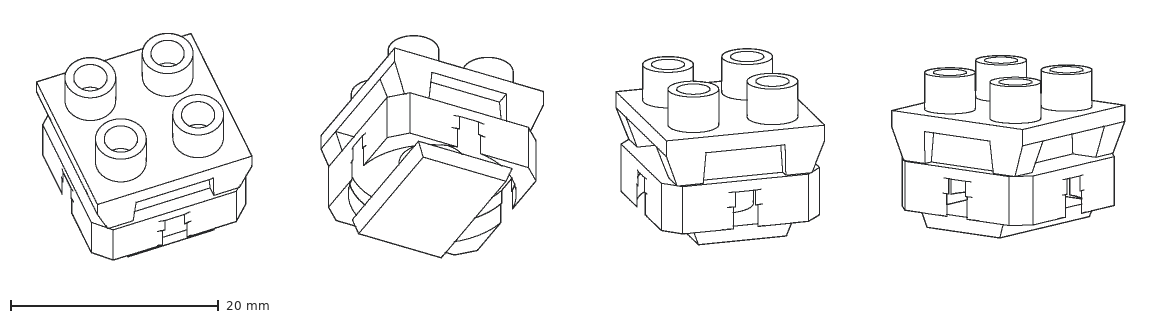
import cadquery as cq

SIDE = 16.0
BASE_TOP = 1.6
COLLAR_TOP = 6.4
PLATE_BOTTOM = 9.6
PLATE_TOP = 11.2
PIN_TOP = 14.8

CORE_INSET_X = 1.0
CORE_INSET_Y = 3.55

COLLAR_CHAMFER = 1.63
CAVITY_STEP_Z = 3.8
CAVITY_TOP = 5.31
CAVITY_LOWER_DIAMETER = 16.2
CAVITY_UPPER_DIAMETER = 16.13
POST_DIAMETER = 6.4

RECESS_FLARE = 0.18
SIDE_RECESS_WIDTH = 8.0
SIDE_RECESS_DEPTH = 1.49
FRONT_RECESS_WIDTH = 9.6
FRONT_RECESS_DEPTH = 4.0

PIN_SPACING = SIDE / 2
PIN_DIAMETER = 4.9
PIN_BORE = 3.2

LEG_HEIGHT = PLATE_BOTTOM - COLLAR_TOP


def block(length, width, bottom, top):
    """Upright box centred on the Z axis between two heights."""
    return cq.Workplane("XY").workplane(offset=bottom).rect(length, width).extrude(top - bottom)


def cylinder(diameter, bottom, top):
    """Upright cylinder on the Z axis between two heights."""
    return cq.Workplane("XY").workplane(offset=bottom).circle(diameter / 2).extrude(top - bottom)


def tapered_core():
    """Full-width block under the plate that narrows down to the underside."""
    return (
        cq.Workplane("XY")
        .rect(SIDE - 2 * CORE_INSET_X, SIDE - 2 * CORE_INSET_Y)
        .workplane(offset=PLATE_BOTTOM)
        .rect(SIDE, SIDE)
        .loft(ruled=True)
    )


def front_recess():
    """Recess on the -Y side, with an upright back wall and flared sides."""
    half_top = FRONT_RECESS_WIDTH / 2
    half_bottom = half_top + RECESS_FLARE
    outline = [
        (-half_bottom, COLLAR_TOP),
        (half_bottom, COLLAR_TOP),
        (half_top, PLATE_BOTTOM),
        (-half_top, PLATE_BOTTOM),
    ]
    back_wall = FRONT_RECESS_DEPTH - SIDE / 2
    return cq.Workplane("XZ", origin=(0, back_wall, 0)).polyline(outline).close().extrude(FRONT_RECESS_DEPTH)


def side_recess():
    """Recess on the -X side, whose back wall leans outward toward the bottom."""
    depth_bottom = SIDE_RECESS_DEPTH - RECESS_FLARE
    width_bottom = SIDE_RECESS_WIDTH + 2 * RECESS_FLARE
    return (
        cq.Workplane("XY", origin=(-SIDE / 2, 0, COLLAR_TOP))
        .center(depth_bottom / 2, 0)
        .rect(depth_bottom, width_bottom)
        .workplane(offset=LEG_HEIGHT)
        .center(RECESS_FLARE / 2, 0)
        .rect(SIDE_RECESS_DEPTH, SIDE_RECESS_WIDTH)
        .loft(ruled=True)
    )


def collar():
    """Chamfered ring; its cavity just breaks through the middle of each side as a stepped slot."""
    body = block(SIDE, SIDE, BASE_TOP, COLLAR_TOP).edges("|Z").chamfer(COLLAR_CHAMFER)
    cavity = cylinder(CAVITY_LOWER_DIAMETER, BASE_TOP, CAVITY_STEP_Z).union(
        cylinder(CAVITY_UPPER_DIAMETER, CAVITY_STEP_Z, CAVITY_TOP)
    )
    return body.cut(cavity).union(cylinder(POST_DIAMETER, BASE_TOP, CAVITY_TOP))


def pins():
    """Four tubes standing on the plate."""
    return (
        cq.Workplane("XY")
        .workplane(offset=PLATE_TOP)
        .rarray(PIN_SPACING, PIN_SPACING, 2, 2)
        .circle(PIN_DIAMETER / 2)
        .circle(PIN_BORE / 2)
        .extrude(PIN_TOP - PLATE_TOP)
    )


core = tapered_core()
for recess in (front_recess(), side_recess()):
    opposite = recess.rotate((0, 0, 0), (0, 0, 1), 180)
    core = core.cut(recess).cut(opposite)

base = core.intersect(block(SIDE, SIDE, 0, BASE_TOP))
legs = core.intersect(block(SIDE, SIDE, COLLAR_TOP, PLATE_BOTTOM))
plate = block(SIDE, SIDE, PLATE_BOTTOM, PLATE_TOP)

result = base.union(collar()).union(legs).union(plate).union(pins())